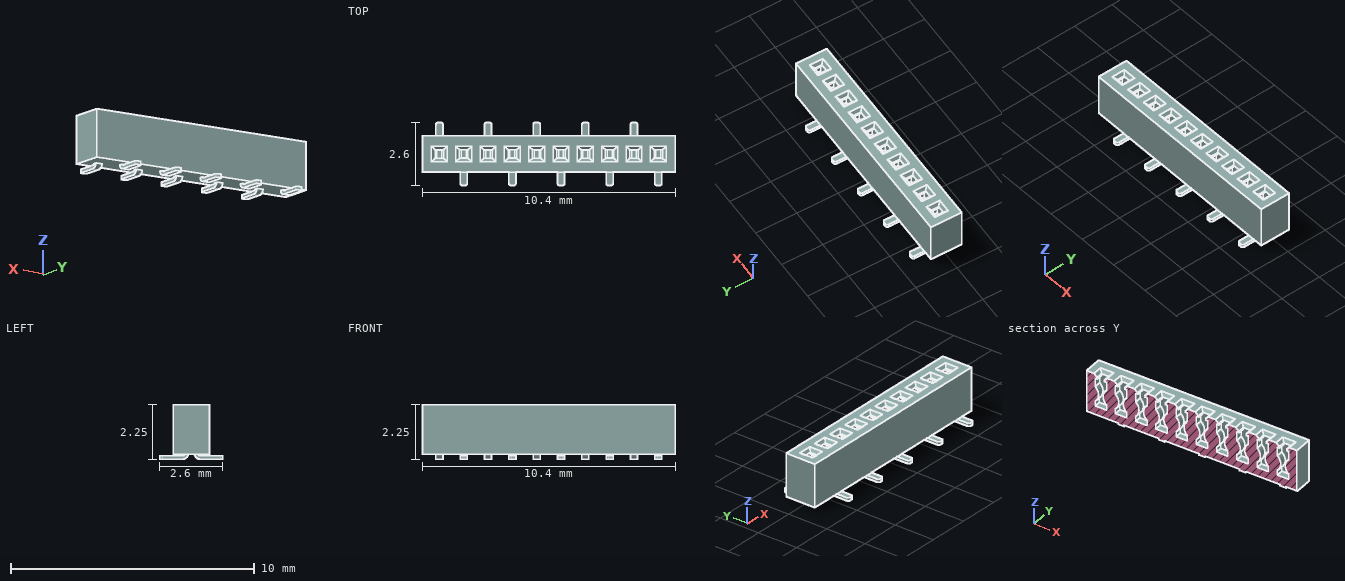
import cadquery as cq
import math

contact_count = 10
pitch = 1.0
end_margin = 0.7
housing_length = (contact_count - 1) * pitch + 2 * end_margin
housing_width = 1.5
housing_top = 2.25
housing_bottom = 0.2
housing_height = housing_top - housing_bottom

socket_mouth = 0.65
socket_throat = 0.35
lead_in_depth = (socket_mouth - socket_throat) / 2
throat_length = 0.08
cavity_top = housing_top - lead_in_depth - throat_length
cavity_bottom = 0.65
cavity_length = 0.54
cavity_height = cavity_top - cavity_bottom

spring_gap = 0.2
spring_radius = 0.48
spring_centre_x = spring_gap / 2 + spring_radius
spring_centre_z = 1.25
plate_thickness = 0.03
plate_top = spring_centre_z

lead_width = 0.3
lead_thickness = 0.15
lead_reach = 1.3
tip_radius = 0.1
bend_inner_radius = 0.1
bend_outer_radius = bend_inner_radius + lead_thickness
bend_centre_y = 0.37
bend_centre_z = bend_outer_radius
lead_root_z = housing_bottom + lead_thickness


def contact_x(index):
    return (index - (contact_count - 1) / 2) * pitch


def make_housing():
    return (
        cq.Workplane("XY")
        .workplane(offset=housing_bottom)
        .box(housing_length, housing_width, housing_height, centered=(True, True, False))
    )


def make_contact():
    """Metal inside one cavity on the Z axis, for a lead that reaches towards +Y."""
    plate = (
        cq.Workplane("XY")
        .workplane(offset=cavity_bottom)
        .center(0, (socket_throat - plate_thickness) / 2)
        .box(cavity_length, plate_thickness, plate_top - cavity_bottom, centered=(True, True, False))
    )
    springs = (
        cq.Workplane("XZ")
        .pushPoints([(-spring_centre_x, spring_centre_z), (spring_centre_x, spring_centre_z)])
        .circle(spring_radius)
        .extrude(socket_throat / 2, both=True)
    )
    return plate.union(springs)


def make_socket():
    """Cutter for one socket on the Z axis, leaving its contact standing in the cavity."""
    lead_in = (
        cq.Workplane("XY")
        .workplane(offset=cavity_top + throat_length)
        .rect(socket_throat, socket_throat)
        .workplane(offset=lead_in_depth)
        .rect(socket_mouth, socket_mouth)
        .loft(ruled=True)
    )
    throat = (
        cq.Workplane("XY")
        .workplane(offset=cavity_top)
        .rect(socket_throat, socket_throat)
        .extrude(throat_length)
    )
    cavity = (
        cq.Workplane("XY")
        .workplane(offset=cavity_bottom)
        .box(cavity_length, socket_throat, cavity_height, centered=(True, True, False))
    )
    return lead_in.union(throat).union(cavity.cut(make_contact()))


def make_lead():
    """One lead at X = 0 reaching towards +Y, its root ending just inside the housing."""
    diagonal = math.sqrt(0.5)
    bend_outer_middle = (
        bend_centre_y - bend_outer_radius * diagonal,
        bend_centre_z - bend_outer_radius * diagonal,
    )
    bend_inner_middle = (
        bend_centre_y - bend_inner_radius * diagonal,
        bend_centre_z - bend_inner_radius * diagonal,
    )
    strip = (
        cq.Workplane("YZ")
        .moveTo(lead_reach, 0)
        .lineTo(bend_centre_y, 0)
        .threePointArc(bend_outer_middle, (bend_centre_y - bend_outer_radius, bend_centre_z))
        .lineTo(bend_centre_y - bend_outer_radius, lead_root_z)
        .lineTo(bend_centre_y - bend_inner_radius, lead_root_z)
        .lineTo(bend_centre_y - bend_inner_radius, bend_centre_z)
        .threePointArc(bend_inner_middle, (bend_centre_y, lead_thickness))
        .lineTo(lead_reach, lead_thickness)
        .close()
        .extrude(lead_width / 2, both=True)
    )
    return strip.faces(">Y").edges("|Z").fillet(tip_radius)


result = make_housing()
lead_to_back = make_lead()
lead_to_front = lead_to_back.mirror("XZ")
socket_for_back = make_socket()
socket_for_front = socket_for_back.mirror("XZ")

for index in range(contact_count):
    position = (contact_x(index), 0, 0)
    reaches_back = index % 2 == 0
    lead = lead_to_back if reaches_back else lead_to_front
    socket = socket_for_back if reaches_back else socket_for_front
    result = result.union(lead.translate(position)).cut(socket.translate(position))